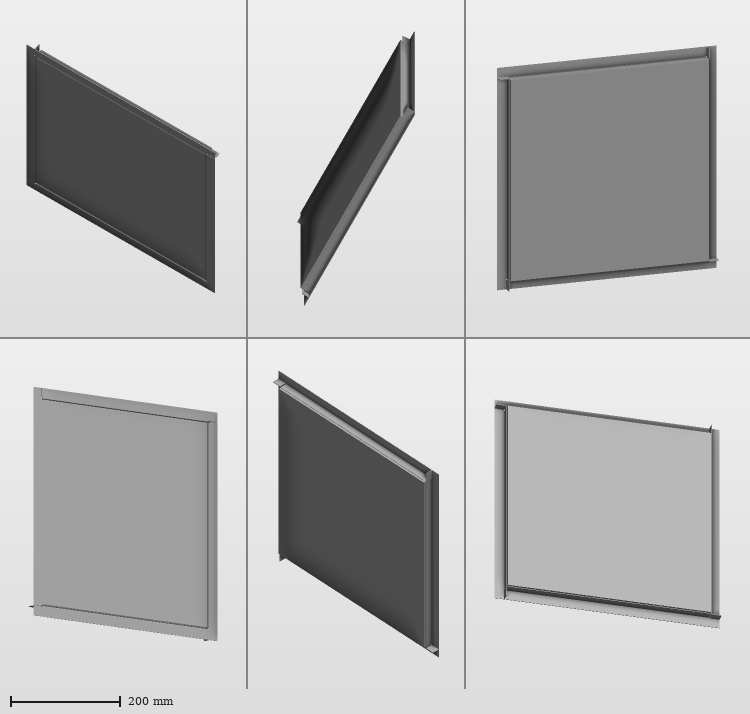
import cadquery as cq

frame_size = 424.0
total_depth = 19.0

rail_count = 4
rail_depth = 15.3
sheet_thickness = 1.0
outer_bend_radius = 1.5
opening_size = 383.5
tab_offset = 1.3

panel_clearance = 0.5
panel_front = 0.5
bevel_width = 2.5
bevel_depth = 1.5

back_plate_size = 383.0

half_frame = frame_size / 2
half_opening = opening_size / 2
inner_bend_radius = outer_bend_radius - sheet_thickness
tab_inner = half_opening + tab_offset
flange_inner = tab_inner + outer_bend_radius
panel_size = opening_size - 2 * panel_clearance


def make_block(x_range, y_range, z_range):
    """Box between the given limits on each axis."""
    sizes = [high - low for low, high in (x_range, y_range, z_range)]
    corner = (x_range[0], y_range[0], z_range[0])
    return cq.Workplane("XY").box(*sizes, centered=False).translate(corner)


def make_angle(start, end, inner):
    """Bent angle along X: upright front flange, and a web running back at height `inner`."""
    outline = (
        cq.Workplane("YZ", origin=(start, 0, 0))
        .moveTo(0, half_frame)
        .lineTo(0, inner + outer_bend_radius)
        .radiusArc((outer_bend_radius, inner), -outer_bend_radius)
        .lineTo(rail_depth, inner)
        .lineTo(rail_depth, inner + sheet_thickness)
        .lineTo(outer_bend_radius, inner + sheet_thickness)
        .radiusArc((sheet_thickness, inner + outer_bend_radius), inner_bend_radius)
        .lineTo(sheet_thickness, half_frame)
        .close()
    )
    return outline.extrude(end - start)


def make_rail(turn):
    """Top rail, turned about Y through the frame centre by `turn` degrees."""
    flange = make_block((-tab_inner, half_frame), (0, sheet_thickness), (flange_inner, half_frame))
    main = make_angle(-half_opening, half_opening, half_opening)
    tab = make_angle(tab_inner, half_frame, tab_inner)
    rail = flange.union(main).union(tab)
    return rail.rotate((0, 0, 0), (0, 1, 0), turn)


def make_panel():
    """Square panel with a bevel around its front face."""
    half = panel_size / 2
    bevel_end = panel_front + bevel_depth
    body = make_block((-half, half), (bevel_end, rail_depth), (-half, half))
    face_size = panel_size - 2 * bevel_width
    bevel = (
        cq.Workplane("XZ", origin=(0, bevel_end, 0))
        .rect(panel_size, panel_size)
        .workplane(offset=bevel_depth)
        .rect(face_size, face_size)
        .loft(ruled=True)
    )
    return body.union(bevel)


def make_back_plate():
    """Flat plate lying against the back of the panel."""
    half = back_plate_size / 2
    return make_block((-half, half), (rail_depth, total_depth), (-half, half))


rails = [make_rail(i * 360 / rail_count) for i in range(rail_count)]
panel = make_panel()
back_plate = make_back_plate()

result = cq.Compound.makeCompound(
    [*[rail.val() for rail in rails], panel.val(), back_plate.val()]
)